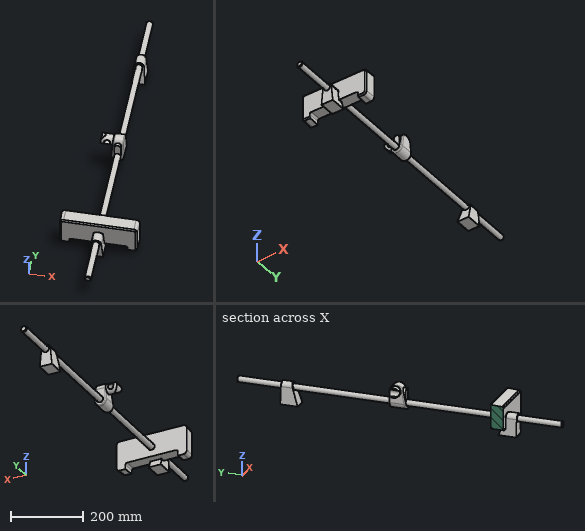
import cadquery as cq
import math


ROD_LENGTH = 963.0
ROD_DIAMETER = 19.0
ROD_END_DIAMETER = 15.0

BRACKET_OUTER_Y = 349.5
BRACKET_TOP_DEPTH = 31.0
BRACKET_FOOT_DEPTH = 52.0
BRACKET_COLLAR_RADIUS = 14.0
BRACKET_FOOT_WIDTH = 38.5
WALL_Z = -51.0

SLIDER_HEAD_RADIUS = 19.0
SLIDER_HEAD_Y = 8.0
SLIDER_HEAD_Z = 35.0
SLIDER_COLLAR_RADIUS = 18.0
SLIDER_TOP_WIDTH = 30.0
SLIDER_EDGE_FILLET = 3.0
SLIDER_FRONT_BOTTOM_Y = -24.0

PAD_WIDTH = 19.0
PAD_TOP_Z = 43.0
PAD_FRONT_Y = -19.0

KNOB_RADIUS = 15.0
KNOB_Y = 9.0
KNOB_Z = 36.0
KNOB_END_X = -51.0
KNOB_HOLE_DIAMETER = 17.0
KNOB_HOLE_X = -32.0

DISH_WIDTH = 221.0
DISH_TOP_Z = 43.0
DISH_BOTTOM_Z = -49.0
DISH_BACK_Y = -279.0
DISH_FRONT_Y = -318.0
DISH_CORNER_RADIUS = 12.0
DISH_DRAFT = 3.0
DISH_FRONT_CHAMFER = 4.0
CUTOUT_WIDTH = 164.0
CUTOUT_TOP_Z = -30.0
CUTOUT_CORNER_RADIUS = 6.0

slider_top_z = SLIDER_HEAD_Z + SLIDER_HEAD_RADIUS
slider_back_y = SLIDER_HEAD_Y + SLIDER_HEAD_RADIUS
bracket_inner_y = BRACKET_OUTER_Y - BRACKET_TOP_DEPTH


def tangent_point(centre_x, centre_y, radius, x, y):
    """Point where a line from (x, y) touches a circle.

    Seen from (x, y), it lies left of the centre, or right of it when the radius is negative.
    """
    dx = centre_x - x
    dy = centre_y - y
    distance = math.hypot(dx, dy)
    angle = math.atan2(dy, dx) + math.asin(radius / distance)
    length = math.sqrt(distance**2 - radius**2)
    return x + length * math.cos(angle), y + length * math.sin(angle)


def along_y(outline, start_y, end_y):
    """Extrude an outline drawn in (x, z) from start_y to end_y."""
    return outline.extrude(start_y - end_y).translate((0, start_y, 0))


def make_rod():
    """Round bar with chamfered ends."""
    rod = cq.Workplane("XZ").circle(ROD_DIAMETER / 2).extrude(ROD_LENGTH / 2, both=True)
    return rod.faces("<Y or >Y").chamfer((ROD_DIAMETER - ROD_END_DIAMETER) / 2)


def make_bracket():
    """Bracket at the +Y end: a collar over a flared foot, with a sloped inner side."""
    half_foot = BRACKET_FOOT_WIDTH / 2
    shoulder_x, shoulder_z = tangent_point(0, 0, -BRACKET_COLLAR_RADIUS, half_foot, WALL_Z)
    section = (
        cq.Workplane("XZ")
        .moveTo(-half_foot, WALL_Z)
        .lineTo(half_foot, WALL_Z)
        .lineTo(shoulder_x, shoulder_z)
        .threePointArc((0, BRACKET_COLLAR_RADIUS), (-shoulder_x, shoulder_z))
        .close()
    )
    block = along_y(section, BRACKET_OUTER_Y - BRACKET_FOOT_DEPTH, BRACKET_OUTER_Y)
    side = (
        cq.Workplane("YZ")
        .polyline(
            [
                (BRACKET_OUTER_Y, WALL_Z),
                (BRACKET_OUTER_Y, BRACKET_COLLAR_RADIUS),
                (bracket_inner_y, BRACKET_COLLAR_RADIUS),
                (BRACKET_OUTER_Y - BRACKET_FOOT_DEPTH, WALL_Z),
            ]
        )
        .close()
        .extrude(BRACKET_FOOT_WIDTH, both=True)
    )
    return block.intersect(side)


def make_slider():
    """Block with a round head, tapered sides, a round collar below, a front pad and a side knob."""
    half_top = SLIDER_TOP_WIDTH / 2
    shoulder_x, shoulder_z = tangent_point(0, 0, SLIDER_COLLAR_RADIUS, half_top, slider_top_z)
    section = (
        cq.Workplane("XZ")
        .moveTo(-half_top, slider_top_z)
        .lineTo(half_top, slider_top_z)
        .lineTo(shoulder_x, shoulder_z)
        .threePointArc((0, -SLIDER_COLLAR_RADIUS), (-shoulder_x, shoulder_z))
        .close()
    )
    block = along_y(section, SLIDER_FRONT_BOTTOM_Y, slider_back_y)
    slope_top = tangent_point(
        SLIDER_HEAD_Y, SLIDER_HEAD_Z, SLIDER_HEAD_RADIUS, SLIDER_FRONT_BOTTOM_Y, -SLIDER_COLLAR_RADIUS
    )
    side = (
        cq.Workplane("YZ")
        .moveTo(slider_back_y, -SLIDER_COLLAR_RADIUS)
        .lineTo(slider_back_y, SLIDER_HEAD_Z)
        .threePointArc((SLIDER_HEAD_Y, slider_top_z), slope_top)
        .lineTo(SLIDER_FRONT_BOTTOM_Y, -SLIDER_COLLAR_RADIUS)
        .close()
        .extrude(2 * SLIDER_COLLAR_RADIUS, both=True)
    )
    body = block.intersect(side).edges("not(|X or |Y)").fillet(SLIDER_EDGE_FILLET)
    return body.union(make_pad()).union(make_knob())


def make_pad():
    """Plate with a half-round top, standing upright on the sloped front."""
    half_width = PAD_WIDTH / 2
    outline = (
        cq.Workplane("XZ")
        .moveTo(-half_width, 0)
        .lineTo(half_width, 0)
        .lineTo(half_width, PAD_TOP_Z - half_width)
        .threePointArc((0, PAD_TOP_Z), (-half_width, PAD_TOP_Z - half_width))
        .close()
    )
    return along_y(outline, PAD_FRONT_Y, SLIDER_HEAD_Y)


def make_knob():
    """Round knob along X with a cross hole and a free end that is rounded about a Y axis."""
    centre_x = KNOB_END_X + KNOB_RADIUS
    cylinder = cq.Workplane("YZ").circle(KNOB_RADIUS).extrude(KNOB_END_X)
    rounded_end = (
        cq.Workplane("XZ")
        .moveTo(0, -KNOB_RADIUS)
        .lineTo(centre_x, -KNOB_RADIUS)
        .threePointArc((KNOB_END_X, 0), (centre_x, KNOB_RADIUS))
        .lineTo(0, KNOB_RADIUS)
        .close()
        .extrude(2 * KNOB_RADIUS, both=True)
    )
    hole = (
        cq.Workplane("XZ")
        .center(KNOB_HOLE_X, 0)
        .circle(KNOB_HOLE_DIAMETER / 2)
        .extrude(2 * KNOB_RADIUS, both=True)
    )
    return cylinder.intersect(rounded_end).cut(hole).translate((0, KNOB_Y, KNOB_Z))


def make_rail():
    """Rod with its two brackets and the slider."""
    bracket = make_bracket()
    return make_rod().union(bracket).union(bracket.mirror("XZ")).union(make_slider())


def make_dish(rail):
    """Drafted block with a wide cutout at the wall, holed to fit over the rod and the -Y bracket."""
    depth = DISH_BACK_Y - DISH_FRONT_Y
    height = DISH_TOP_Z - DISH_BOTTOM_Z
    block = (
        cq.Workplane("XZ")
        .center(0, (DISH_TOP_Z + DISH_BOTTOM_Z) / 2)
        .sketch()
        .rect(DISH_WIDTH, height)
        .vertices()
        .fillet(DISH_CORNER_RADIUS)
        .finalize()
        .extrude(depth, taper=DISH_DRAFT)
        .faces("<Y")
        .chamfer(DISH_FRONT_CHAMFER)
        .translate((0, DISH_BACK_Y, 0))
    )
    cutout = (
        cq.Workplane("XY")
        .box(CUTOUT_WIDTH, 2 * depth, height, centered=(True, True, False))
        .edges("|Y and >Z")
        .fillet(CUTOUT_CORNER_RADIUS)
        .translate((0, (DISH_BACK_Y + DISH_FRONT_Y) / 2, CUTOUT_TOP_Z - height))
    )
    return block.cut(cutout).cut(rail)


rail = make_rail()
dish = make_dish(rail)

result = cq.Compound.makeCompound([rail.val(), dish.val()])